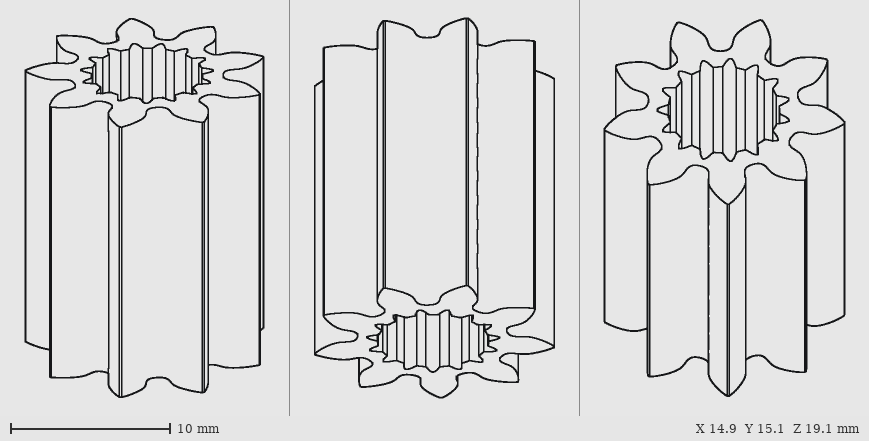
import cadquery as cq
import math

length = 19.05

tooth_count = 9
tooth_pitch = 360 / tooth_count
tip_radius = 7.65
tip_half_width = 0.08
flank_mid_radius = 6.72
flank_mid_half_width = 0.88
belly_radius = 5.85
belly_half_width = 1.18
neck_radius = 5.2
neck_half_width = 1.12
fillet_mid_radius = 4.91
fillet_mid_half_width = 1.24
root_radius = 4.82
root_half_angle = 3.0

groove_count = 15
groove_pitch = 360 / groove_count
bore_radius = 3.5
groove_radius = 4.2
groove_mouth_half_width = 0.44
groove_waist_radius = 3.85
groove_waist_half_width = 0.29
groove_end_radius = 4.08
groove_end_half_width = 0.15


def polar(radius, degrees):
    angle = math.radians(degrees)
    return (radius * math.cos(angle), radius * math.sin(angle))


def offset_point(radius, half_width, direction):
    """Point at a radius, offset sideways by half_width from a radial centre line."""
    return polar(radius, direction + math.degrees(math.asin(half_width / radius)))


def pinion_outline():
    """Flat tooth tips joined by smooth curves that run down one flank and up the next."""
    half_profile = [
        (tip_radius, tip_half_width),
        (flank_mid_radius, flank_mid_half_width),
        (belly_radius, belly_half_width),
        (neck_radius, neck_half_width),
        (fillet_mid_radius, fillet_mid_half_width),
    ]
    first_tooth = 180
    outline = cq.Workplane("XY").moveTo(*offset_point(tip_radius, -tip_half_width, first_tooth))
    for index in range(tooth_count):
        tooth = first_tooth + index * tooth_pitch
        next_tooth = tooth + tooth_pitch
        gap_center = tooth + tooth_pitch / 2
        falling_flank = [offset_point(r, w, tooth) for r, w in half_profile]
        root = [polar(root_radius, gap_center + side * root_half_angle) for side in (-1, 1)]
        rising_flank = [offset_point(r, -w, next_tooth) for r, w in reversed(half_profile)]
        outline = outline.lineTo(*falling_flank[0])
        outline = outline.spline(falling_flank[1:] + root + rising_flank, includeCurrent=True)
    return outline.close()


def spline_outline():
    """Bore arcs joined by smooth round-ended grooves."""
    half_profile = [
        (groove_end_radius, groove_end_half_width),
        (groove_waist_radius, groove_waist_half_width),
        (bore_radius, groove_mouth_half_width),
    ]
    outline = cq.Workplane("XY").moveTo(*offset_point(bore_radius, -groove_mouth_half_width, 0))
    for index in range(groove_count):
        center = index * groove_pitch
        outward_side = [offset_point(r, -w, center) for r, w in reversed(half_profile)]
        inward_side = [offset_point(r, w, center) for r, w in half_profile]
        groove_end = polar(groove_radius, center)
        next_mouth = offset_point(bore_radius, -groove_mouth_half_width, center + groove_pitch)
        outline = outline.spline(outward_side[1:] + [groove_end] + inward_side, includeCurrent=True)
        outline = outline.threePointArc(polar(bore_radius, center + groove_pitch / 2), next_mouth)
    return outline.close()


pinion = pinion_outline().extrude(length)
splined_bore = spline_outline().extrude(length)
result = pinion.cut(splined_bore)